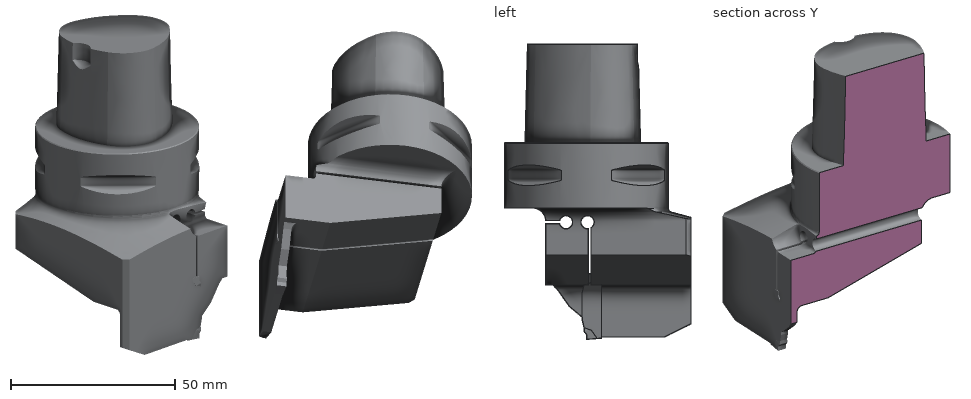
import cadquery as cq
import math


OVERALL_H = 90.0

FLANGE_R = 25.0
FLANGE_H = 20.0
FLANGE_CHAMFER = 0.3

GROOVE_Z = -FLANGE_H / 2
GROOVE_FLOOR_DIST = 22.2
GROOVE_FLOOR_HALF = 1.5
GROOVE_WALL_ANGLE = 30
GROOVE_FLOOR_FILLET = 0.5
GROOVE_ANGLES = [45, 135, 225, 315]

SHANK_H = 30.0
SHANK_TAPER = 1 / 20
LOBE_R = 12.2
FLANK_R = 27.9
LOBE_OFFSET = 6.5
LOBE_ANGLES = [90, 210, 330]

KEY_R = 4.7
KEY_Y = -18.3
KEY_DEPTH = 5.5
KEY_TIP_H = 3.8

HEAD_LEFT = -13.6
HEAD_RIGHT = 34.7
HEAD_FRONT = -31.95
HEAD_BACK = 12.4
HEAD_CHAMFER = 1.5
HEAD_FILLET = 4.0
HEAD_LEFT_BOTTOM = -34.3
HEAD_BOTTOM = -43.4
HEAD_BOTTOM_FLAT_X = 20.9

CONE_START_Z = -21.0
CONE_ANGLE = 15
CONE_END_R = 54.0
CONE_FILLET = 1.2

BLADE_INNER = 32.2
BLADE_BOTTOM = -59.3
BLADE_FILLET = 1.5
BLADE_FRONT_Z = -55.3
BLADE_CHAMFER_Y = -23.8

POCKET_X = 25.3
POCKET_FRONT = -3.9
POCKET_FLOOR = -26.8
POCKET_SIDE_FILLET = 1.1
POCKET_FRONT_FILLET = 4.3
FLEX_HOLE_R = 2.0
FLEX_HOLE_Z = -24.3
OUTER_HOLE_Y = 6.2
INNER_HOLE_Y = -0.4
FLAT_SLIT_W = 0.9
UPRIGHT_SLIT_W = 0.7
UPRIGHT_SLIT_Y = -1.0

INSERT_BOTTOM = SHANK_H - OVERALL_H
INSERT_MIDDLE = -49.95
INSERT_OUTER = 35.0
INSERT_EDGE_W = 3.0
INSERT_SEAT_Y = -4.7
INSERT_TOP_Y = 1.3
INSERT_RAKE_Y = 0.7
INSERT_TIP_Y = -0.1
INSERT_HEEL_Z = -59.7
NECK_END_Z = -56.4
WIDE_START_Z = -57.5
RELIEF_END_Y = -3.1

OVERSHOOT = 4.5


def polar(distance, angle):
    """Point at a distance from the axis, in a direction given in degrees."""
    return cq.Vector(
        distance * math.cos(math.radians(angle)),
        distance * math.sin(math.radians(angle)),
    )


def lobed_outline(inset, height):
    """Three lobe arcs joined smoothly by three flatter flank arcs, all moved inward by the inset."""
    lobe_r = LOBE_R - inset
    flank_r = FLANK_R - inset
    half_spread = LOBE_OFFSET * math.sin(math.radians(60))
    center_gap = FLANK_R - LOBE_R
    flank_offset = math.sqrt(center_gap**2 - half_spread**2) - LOBE_OFFSET / 2
    flank_half_angle = math.degrees(math.asin(half_spread / center_gap))
    lobe_half_angle = 60 - flank_half_angle
    up = cq.Vector(0, 0, height)
    edges = []
    for lobe_angle in LOBE_ANGLES:
        lobe_center = polar(LOBE_OFFSET, lobe_angle) + up
        lobe_start = lobe_center + polar(lobe_r, lobe_angle - lobe_half_angle)
        lobe_peak = lobe_center + polar(lobe_r, lobe_angle)
        lobe_end = lobe_center + polar(lobe_r, lobe_angle + lobe_half_angle)
        edges.append(cq.Edge.makeThreePointArc(lobe_start, lobe_peak, lobe_end))
        flank_angle = lobe_angle + 60
        flank_center = polar(flank_offset, flank_angle + 180) + up
        flank_middle = flank_center + polar(flank_r, flank_angle)
        flank_end = flank_center + polar(flank_r, flank_angle + flank_half_angle)
        edges.append(cq.Edge.makeThreePointArc(lobe_end, flank_middle, flank_end))
    return cq.Wire.assembleEdges(edges)


def make_shank():
    """Tapered shank with a drilled key seat near its top."""
    base = lobed_outline(0, 0)
    top = lobed_outline(SHANK_H * SHANK_TAPER / 2, SHANK_H)
    shank = cq.Workplane(cq.Solid.makeLoft([base, top], True))
    key_bottom = SHANK_H - KEY_DEPTH
    key_drill = (
        cq.Workplane("XZ", origin=(0, KEY_Y, 0))
        .moveTo(0, SHANK_H + OVERSHOOT)
        .lineTo(KEY_R, SHANK_H + OVERSHOOT)
        .lineTo(KEY_R, key_bottom)
        .lineTo(0, key_bottom - KEY_TIP_H)
        .close()
        .revolve(360, (0, 0, 0), (0, 1, 0))
    )
    return shank.cut(key_drill)


def gripper_groove(angle):
    """V-sided groove with a flat floor, cut straight across the flange."""
    depth = FLANGE_R + OVERSHOOT - GROOVE_FLOOR_DIST
    mouth_half = GROOVE_FLOOR_HALF + depth * math.tan(math.radians(GROOVE_WALL_ANGLE))
    mouth_dist = GROOVE_FLOOR_DIST + depth
    return (
        cq.Workplane("XZ", origin=(0, 0, GROOVE_Z))
        .moveTo(GROOVE_FLOOR_DIST, -GROOVE_FLOOR_HALF)
        .lineTo(mouth_dist, -mouth_half)
        .lineTo(mouth_dist, mouth_half)
        .lineTo(GROOVE_FLOOR_DIST, GROOVE_FLOOR_HALF)
        .close()
        .extrude(FLANGE_R, both=True)
        .edges("|Y and <X")
        .fillet(GROOVE_FLOOR_FILLET)
        .rotate((0, 0, 0), (0, 0, 1), angle)
    )


def make_flange():
    """Round flange with evenly spaced gripper grooves."""
    flange = cq.Workplane("XY").circle(FLANGE_R).extrude(-FLANGE_H).faces(">Z").chamfer(FLANGE_CHAMFER)
    for angle in GROOVE_ANGLES:
        flange = flange.cut(gripper_groove(angle))
    return flange


def head_plan():
    """Head and blade seen along Z, as a prism with its two front corners chamfered."""
    return (
        cq.Workplane("XY", origin=(0, 0, BLADE_BOTTOM))
        .moveTo(HEAD_LEFT, HEAD_BACK)
        .lineTo(HEAD_LEFT, HEAD_FRONT)
        .lineTo(HEAD_RIGHT, HEAD_FRONT)
        .lineTo(HEAD_RIGHT, HEAD_BACK)
        .close()
        .extrude(-FLANGE_H - BLADE_BOTTOM)
        .edges("|Z and <Y")
        .chamfer(HEAD_CHAMFER)
    )


def head_front_profile():
    """Sloping underside of the head, running into the thin blade on the right."""
    bend = BLADE_FILLET * (1 - math.sqrt(0.5))
    return (
        cq.Workplane("XZ")
        .moveTo(HEAD_LEFT, -FLANGE_H)
        .lineTo(HEAD_LEFT, HEAD_LEFT_BOTTOM)
        .lineTo(HEAD_BOTTOM_FLAT_X, HEAD_BOTTOM)
        .lineTo(BLADE_INNER - BLADE_FILLET, HEAD_BOTTOM)
        .threePointArc(
            (BLADE_INNER - bend, HEAD_BOTTOM - bend),
            (BLADE_INNER, HEAD_BOTTOM - BLADE_FILLET),
        )
        .lineTo(BLADE_INNER, BLADE_BOTTOM)
        .lineTo(HEAD_RIGHT, BLADE_BOTTOM)
        .lineTo(HEAD_RIGHT, -FLANGE_H)
        .close()
        .extrude(2 * FLANGE_R, both=True)
    )


def head_side_profile():
    """Blade edge on both sides of the insert; the step at the insert lies inside its seat."""
    seat_middle_y = (INSERT_SEAT_Y + INSERT_TOP_Y) / 2
    upper_jaw = [(10.3, HEAD_BOTTOM), (8.8, -44.8), (5.2, -49.95), (INSERT_TOP_Y, -53.3)]
    outline = [
        (HEAD_BACK, -FLANGE_H),
        (HEAD_BACK, HEAD_BOTTOM),
        *upper_jaw,
        (seat_middle_y, upper_jaw[-1][1]),
        (seat_middle_y, BLADE_BOTTOM),
        (BLADE_CHAMFER_Y, BLADE_BOTTOM),
        (HEAD_FRONT, BLADE_FRONT_Z),
        (HEAD_FRONT, -FLANGE_H),
    ]
    return cq.Workplane("YZ").polyline(outline).close().extrude(2 * FLANGE_R, both=True)


def cone_shoulder():
    """Solid of revolution that caps the head: flange wall, fillet, then a shallow cone."""
    drop = (CONE_END_R - FLANGE_R) * math.tan(math.radians(CONE_ANGLE))
    corner_depth = CONE_FILLET * math.tan(math.radians(45 - CONE_ANGLE / 2))
    fillet_turn = math.radians(90 - CONE_ANGLE)
    fillet_center = (FLANGE_R + CONE_FILLET, CONE_START_Z + corner_depth)

    def on_fillet(turn):
        return (
            fillet_center[0] - CONE_FILLET * math.cos(turn),
            fillet_center[1] - CONE_FILLET * math.sin(turn),
        )

    return (
        cq.Workplane("XZ")
        .moveTo(0, 0)
        .lineTo(FLANGE_R, 0)
        .lineTo(*on_fillet(0))
        .threePointArc(on_fillet(fillet_turn / 2), on_fillet(fillet_turn))
        .lineTo(CONE_END_R, CONE_START_Z - drop)
        .lineTo(CONE_END_R, INSERT_BOTTOM)
        .lineTo(0, INSERT_BOTTOM)
        .close()
        .revolve(360, (0, 0, 0), (0, 1, 0))
    )


def make_head():
    """Head and blade, flared into the flange on the left and at the back, under the cone."""
    head = head_plan().intersect(head_front_profile()).intersect(head_side_profile())
    plate = (
        cq.Workplane("XY", origin=(0, 0, -FLANGE_H))
        .rect(4 * FLANGE_R, 4 * FLANGE_R)
        .extrude(OVERSHOOT)
    )
    left_edge = cq.selectors.NearestToPointSelector((HEAD_LEFT, -FLANGE_H / 2, -FLANGE_H))
    back_edge = cq.selectors.NearestToPointSelector((FLANGE_H / 2, HEAD_BACK, -FLANGE_H))
    flared = head.union(plate).edges(cq.selectors.SumSelector(left_edge, back_edge)).fillet(HEAD_FILLET)
    return flared.intersect(cone_shoulder())


def relief_pocket():
    """Open corner pocket that frees the top of the clamping finger."""
    return (
        cq.Workplane("XY", origin=(POCKET_X, POCKET_FRONT, POCKET_FLOOR))
        .box(2 * FLANGE_R, 2 * FLANGE_R, FLANGE_H, centered=False)
        .edges("<Y and <Z")
        .fillet(POCKET_FRONT_FILLET)
        .edges("<X and <Z")
        .fillet(POCKET_SIDE_FILLET)
    )


def flex_cuts():
    """Two cross holes, a level slit out to the back and an upright slit down to the insert."""
    length = 4 * FLANGE_R
    holes = (
        cq.Workplane("YZ")
        .pushPoints([(OUTER_HOLE_Y, FLEX_HOLE_Z), (INNER_HOLE_Y, FLEX_HOLE_Z)])
        .circle(FLEX_HOLE_R)
        .extrude(length / 2, both=True)
    )
    flat_slit = (
        cq.Workplane("XY", origin=(0, OUTER_HOLE_Y, FLEX_HOLE_Z - FLAT_SLIT_W / 2))
        .box(length, FLANGE_R, FLAT_SLIT_W, centered=(True, False, False))
    )
    upright_slit = (
        cq.Workplane("XY", origin=(0, UPRIGHT_SLIT_Y, INSERT_MIDDLE))
        .box(length, UPRIGHT_SLIT_W, FLEX_HOLE_Z - INSERT_MIDDLE, centered=(True, True, False))
    )
    return holes.union(flat_slit).union(upright_slit)


def insert_outline():
    """Upright outline of the lower half of the insert, down to the cutting tip."""
    return [
        (INSERT_TOP_Y, INSERT_MIDDLE),
        (INSERT_TOP_Y, -54.2),
        (INSERT_RAKE_Y, NECK_END_Z),
        (INSERT_RAKE_Y, -57.6),
        (INSERT_TIP_Y, -58.6),
        (INSERT_TIP_Y, INSERT_BOTTOM),
        (INSERT_SEAT_Y, INSERT_HEEL_Z),
        (INSERT_SEAT_Y, INSERT_MIDDLE),
    ]


def upright_plate(outline, inner_x, outer_x):
    """Plate between two X positions with the given Y-Z outline."""
    return cq.Workplane("YZ", origin=(inner_x, 0, 0)).polyline(outline).close().extrude(outer_x - inner_x)


def both_halves(lower_half):
    """Lower half joined to its mirror image above the middle of the insert."""
    return lower_half.union(lower_half.mirror("XY", (0, 0, INSERT_MIDDLE)))


def cutting_end():
    """Wide tip of the insert, tapering to the blade width above and behind the cutting edge."""
    edge_inner = INSERT_OUTER - INSERT_EDGE_W
    end_outline = [
        (INSERT_RAKE_Y, NECK_END_Z),
        (-1.5, -57.2),
        (RELIEF_END_Y, -59.4),
        (RELIEF_END_Y, INSERT_BOTTOM),
        (INSERT_RAKE_Y, INSERT_BOTTOM),
    ]
    taper_outline = [
        (edge_inner, INSERT_RAKE_Y),
        (INSERT_OUTER, INSERT_RAKE_Y),
        (INSERT_OUTER, INSERT_TIP_Y),
        (HEAD_RIGHT, RELIEF_END_Y),
        (BLADE_INNER, RELIEF_END_Y),
        (edge_inner, INSERT_TIP_Y),
    ]
    taper = (
        cq.Workplane("XY", origin=(0, 0, INSERT_BOTTOM))
        .polyline(taper_outline)
        .close()
        .extrude(INSERT_MIDDLE - INSERT_BOTTOM)
    )
    shoulder = (
        cq.Workplane("XZ")
        .polyline([
            (BLADE_INNER, NECK_END_Z),
            (edge_inner, WIDE_START_Z),
            (edge_inner, INSERT_BOTTOM),
            (INSERT_OUTER, INSERT_BOTTOM),
            (INSERT_OUTER, WIDE_START_Z),
            (HEAD_RIGHT, NECK_END_Z),
        ])
        .close()
        .extrude(FLANGE_R, both=True)
    )
    whole = upright_plate(insert_outline(), edge_inner, INSERT_OUTER)
    end = whole.intersect(upright_plate(end_outline, edge_inner, INSERT_OUTER))
    return end.intersect(taper).intersect(shoulder)


def make_insert():
    """Insert with a narrow neck and a wide cutting end at top and bottom."""
    neck = upright_plate(insert_outline(), BLADE_INNER, HEAD_RIGHT)
    return both_halves(neck.union(cutting_end()))


def seat_opening():
    """Gap in the blade fillet that leaves the side of the insert open below the head."""
    opening = both_halves(upright_plate(insert_outline(), BLADE_INNER - BLADE_FILLET, BLADE_INNER))
    below_head = (
        cq.Workplane("XY", origin=(0, 0, HEAD_BOTTOM))
        .rect(4 * FLANGE_R, 4 * FLANGE_R)
        .extrude(INSERT_BOTTOM - HEAD_BOTTOM)
    )
    return opening.intersect(below_head)


def make_holder(insert_body):
    """Shank, flange and head in one piece, with a matching seat for the insert."""
    head = make_head().cut(relief_pocket())
    blank = make_flange().union(make_shank()).union(head)
    return blank.cut(flex_cuts()).cut(seat_opening()).cut(insert_body)


insert = make_insert()
holder = make_holder(insert)

result = cq.Compound.makeCompound([holder.solids().val(), insert.solids().val()])